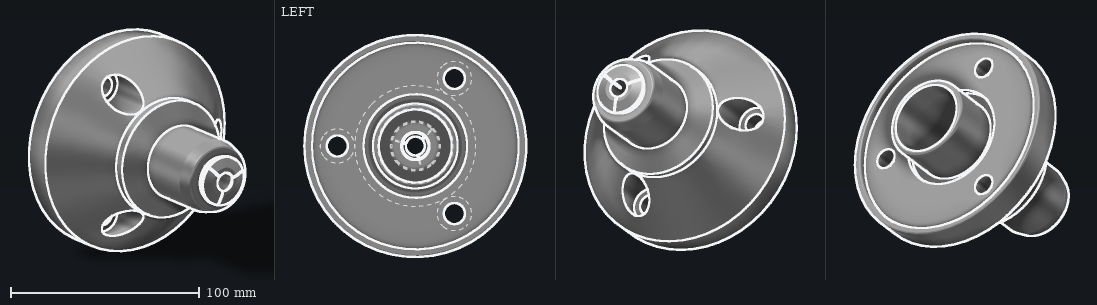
import cadquery as cq
import math


flange_radius = 59.0
flange_start = 20.0
flange_thickness = 15.6
rim_fillet = 1.1
collar_radius = 32.1
collar_length = 5.4

sleeve_radius = 22.5
sleeve_fillet = 1.9
sleeve_bore_radius = 19.4
sleeve_bore_depth = 62.3

spigot_radius = 20.1
spigot_start = 74.5
spigot_taper_start = 103.4
spigot_end = 110.8
spigot_end_radius = 18.0
spigot_fillet = 1.5

face_recess_radius = 54.9
face_recess_depth = 4.1
face_recess_fillet = 1.0
ring_recess_radius = 27.5
ring_recess_depth = 4.0

hole_count = 3
hole_circle_radius = 41.4
hole_radius = 5.5
counterbore_radius = 9.1

collet_start = 94.4
collet_end = 116.5
collet_radius = 12.5
neck_radius = 13.1
collet_bore_radius = 7.0
collet_tip_bore_radius = 5.0
collet_tip_radius = 7.7
lip_radius = 13.3
lip_start = 113.0
lip_end = 114.9
slit_start = 103.8
slit_count = 3
slit_width = 0.6
first_slit_angle = 45.0
passage_radius = 7.5

flange_end = flange_start + flange_thickness
cone_end = flange_end + flange_radius - collar_radius
collar_end = cone_end + collar_length

match_tolerance = 0.01

face_floor = flange_start + face_recess_depth
ring_floor = face_floor + ring_recess_depth


def revolve_profile(points):
    """Turn a closed (x, radius) outline about the X axis."""
    return cq.Workplane("XY").polyline(points).close().revolve(360, (0, 0, 0), (1, 0, 0))


def cylinder(radius, start, end, y=0.0, z=0.0):
    """Cylinder parallel to X between two X positions."""
    return cq.Workplane("YZ", origin=(start, y, z)).circle(radius).extrude(end - start)


def fillet_flange_face_edge(body, edge_radius, fillet_radius):
    """Round the circular edge of the given radius on the front face of the flange."""
    edges = [
        edge for edge in body.edges("%CIRCLE").vals()
        if math.isclose(edge.Center().x, flange_start, abs_tol=match_tolerance)
        and math.isclose(edge.radius(), edge_radius, abs_tol=match_tolerance)
    ]
    return body.newObject(edges).fillet(fillet_radius)


def make_housing_blank():
    """Turn the sleeve, flange, cone, collar and spigot, with recesses sunk in the flange face."""
    blank = revolve_profile([
        (0, 0),
        (0, sleeve_radius),
        (ring_floor, sleeve_radius),
        (ring_floor, ring_recess_radius),
        (face_floor, ring_recess_radius),
        (face_floor, face_recess_radius),
        (flange_start, face_recess_radius),
        (flange_start, flange_radius),
        (flange_end, flange_radius),
        (cone_end, collar_radius),
        (collar_end, collar_radius),
        (spigot_start, spigot_radius),
        (spigot_taper_start, spigot_radius),
        (spigot_end, spigot_end_radius),
        (spigot_end, 0),
    ])
    blank = blank.faces("<X").edges().fillet(sleeve_fillet)
    blank = blank.faces(">X").edges().fillet(spigot_fillet)
    blank = fillet_flange_face_edge(blank, face_recess_radius, face_recess_fillet)
    return fillet_flange_face_edge(blank, flange_radius, rim_fillet)


def cut_bores(body):
    """Cut the sleeve bore, the collet seat and the passage that joins them."""
    body = body.cut(cylinder(sleeve_bore_radius, 0, sleeve_bore_depth))
    body = body.cut(cylinder(passage_radius, sleeve_bore_depth, collet_start))
    return body.cut(cylinder(collet_radius, collet_start, spigot_end))


def cut_mounting_holes(body):
    """Drill the mounting holes and counterbore them from the cone down to the flange."""
    for index in range(hole_count):
        angle = math.radians(index * 360 / hole_count)
        y = hole_circle_radius * math.cos(angle)
        z = hole_circle_radius * math.sin(angle)
        body = body.cut(cylinder(hole_radius, face_floor, flange_end, y, z))
        body = body.cut(cylinder(counterbore_radius, flange_end, cone_end, y, z))
    return body


def make_housing():
    housing = make_housing_blank()
    housing = cut_bores(housing)
    return cut_mounting_holes(housing)


def make_collet():
    """Bush with a flared neck, a snap lip, a tapering bore and a slit tip."""
    collet = revolve_profile([
        (collet_start, collet_bore_radius),
        (collet_start, collet_radius),
        (spigot_end, collet_radius),
        (lip_start, neck_radius),
        (lip_start, lip_radius),
        (lip_end, lip_radius),
        (collet_end, collet_tip_radius),
        (collet_end, collet_tip_bore_radius),
        (lip_start, collet_bore_radius),
    ])
    slit_length = collet_end - slit_start
    for index in range(slit_count):
        angle = first_slit_angle + index * 360 / slit_count
        slit = cq.Workplane("XY").box(
            slit_length, lip_radius, slit_width, centered=(False, False, True)
        ).translate((slit_start, 0, 0)).rotate((0, 0, 0), (1, 0, 0), 180 - angle)
        collet = collet.cut(slit)
    return collet


housing = make_housing()
collet = make_collet()

result = cq.Compound.makeCompound([housing.val(), collet.val()])